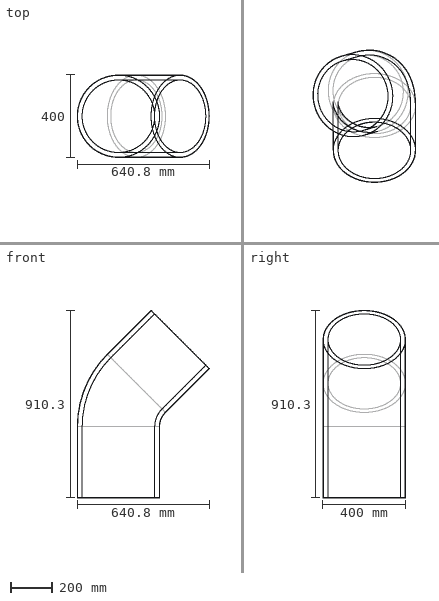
import cadquery as cq

outer_diameter = 400.0
bore_diameter = 352.0
bend_radius = 298.0
bend_angle = 45
lower_leg_length = 346.0
upper_leg_length = 300.0


def ring(workplane):
    """Annular pipe section centred on the workplane origin."""
    return workplane.circle(outer_diameter / 2).circle(bore_diameter / 2)


lower_leg = ring(cq.Workplane("XY")).extrude(lower_leg_length)

bend_start = cq.Workplane("XY").workplane(offset=lower_leg_length)
bend = ring(bend_start).revolve(bend_angle, (bend_radius, 0), (bend_radius, 1))

bend_axis_start = (bend_radius, 0, lower_leg_length)
bend_axis_end = (bend_radius, 1, lower_leg_length)
upper_leg = (
    ring(bend_start)
    .extrude(upper_leg_length)
    .rotate(bend_axis_start, bend_axis_end, bend_angle)
)

result = lower_leg.union(bend).union(upper_leg)